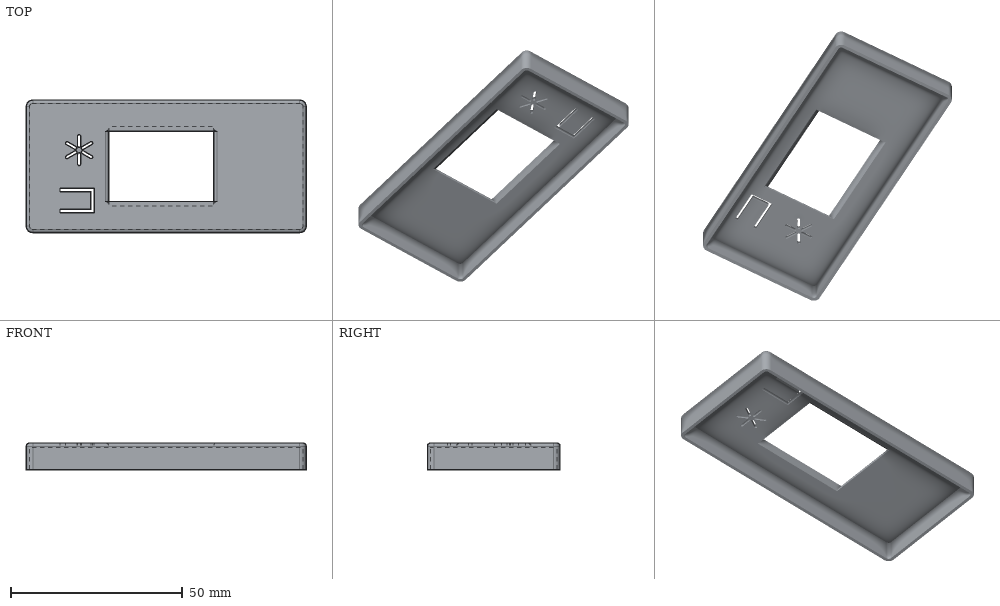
import cadquery as cq

length = 81.9
width = 38.8
height = 7.9
wall = 1.0
top_thickness = 1.4
corner_radius = 2.0
edge_radius = 1.0

window_x = -1.5
window_length = 30.6
window_width = 20.5
window_edge_radius = 1.0

star_x = -25.5
star_y = 4.75
arm_count = 6
arm_inner_radius = 0.8
arm_outer_radius = 4.5
arm_width = 0.8

tongue_slot_left = -31.0
tongue_slot_length = 10.0
tongue_slot_span = 7.1
tongue_slot_y = -10.0
tongue_slot_width = 1.0

top_underside = height - top_thickness


def make_shell():
    outer = (
        cq.Workplane("XY").box(length, width, height, centered=(True, True, False))
        .edges("|Z").fillet(corner_radius)
        .faces(">Z").edges().fillet(edge_radius)
    )
    cavity = (
        cq.Workplane("XY")
        .box(length - 2 * wall, width - 2 * wall, top_underside, centered=(True, True, False))
        .edges("|Z").fillet(corner_radius - wall)
    )
    return outer.cut(cavity)


def make_window_cutter():
    """Opening with rounded top edges at its X ends and 45 degree undercuts along its Y sides."""
    half_length = window_length / 2
    half_mouth = half_length + window_edge_radius
    rounding_bottom = height - window_edge_radius
    rounded_ends = (
        cq.Workplane("XZ")
        .moveTo(-half_length, top_underside)
        .lineTo(half_length, top_underside)
        .lineTo(half_length, rounding_bottom)
        .radiusArc((half_mouth, height), window_edge_radius)
        .lineTo(-half_mouth, height)
        .radiusArc((-half_length, rounding_bottom), window_edge_radius)
        .close()
        .extrude(window_width / 2 + top_thickness, both=True)
    )
    half_width = window_width / 2
    half_undercut = half_width + top_thickness
    flared_sides = (
        cq.Workplane("YZ")
        .polyline([
            (-half_undercut, top_underside),
            (half_undercut, top_underside),
            (half_width, height),
            (-half_width, height),
        ])
        .close()
        .extrude(half_mouth, both=True)
    )
    return rounded_ends.intersect(flared_sides).translate((window_x, 0, 0))


def make_star_cutter():
    arm_length = arm_outer_radius - arm_inner_radius
    arm_middle = (arm_outer_radius + arm_inner_radius) / 2
    arms = (
        cq.Workplane("XY", origin=(star_x, star_y, top_underside))
        .polarArray(arm_middle, 90, 360, arm_count)
        .slot2D(arm_length, arm_width)
        .extrude(top_thickness)
    )
    return arms


def make_tongue_slot_cutter():
    slot_base = cq.Workplane("XY", origin=(tongue_slot_left, tongue_slot_y, top_underside))
    outer = slot_base.box(
        tongue_slot_length, tongue_slot_span, top_thickness, centered=(False, True, False)
    )
    tongue = slot_base.box(
        tongue_slot_length - tongue_slot_width,
        tongue_slot_span - 2 * tongue_slot_width,
        top_thickness,
        centered=(False, True, False),
    )
    return outer.cut(tongue)


cover = (
    make_shell()
    .cut(make_window_cutter())
    .cut(make_star_cutter())
    .cut(make_tongue_slot_cutter())
)

result = cq.Compound.makeCompound([cover.val()])